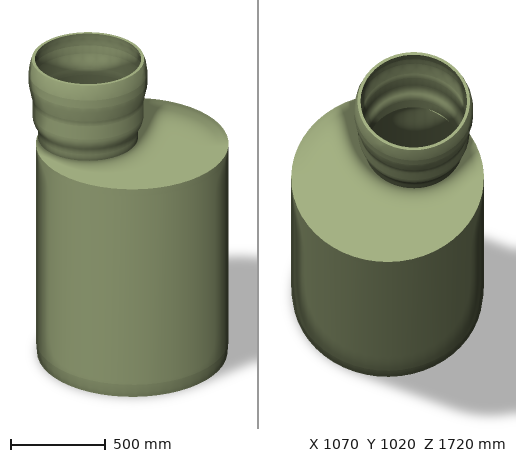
import cadquery as cq
import math

barrel_outer_radius = 1020.0 / 2
barrel_inner_radius = 980.0 / 2
foot_bottom_radius = 504.0
foot_top_radius = 509.0
foot_top = 65.0
barrel_straight_start = 75.0

lid_bottom = 1210.0
lid_top = 1250.0

total_height = 1720.0
neck_wall = 14.8
pipe_radius = 530.0 / 2
socket_radius = 590.0 / 2
bell_radius = 630.0 / 2
rim_radius = 595.0 / 2
flare_start = 1288.0
flare_inflection = 1330.0
socket_start = 1393.0
socket_end = 1474.0
bell_inflection = 1505.0
bell_start = 1591.0
bell_end = 1640.0

neck_x = pipe_radius - barrel_outer_radius


def s_curve_joint(lower_radius, lower_z, joint_z, upper_radius, upper_z, inset):
    """Point where two tangent arcs join, moved inward by inset along the wall normal."""
    share = (joint_z - lower_z) / (upper_z - lower_z)
    radius = lower_radius + share * (upper_radius - lower_radius)
    slope = 2 * math.atan2(upper_radius - lower_radius, upper_z - lower_z)
    return (radius - inset * math.cos(slope), joint_z + inset * math.sin(slope))


def rim_edge_radius(inset):
    """Radius at the top edge of the arc that closes in from the bell, moved inward by inset."""
    rise = total_height - bell_end
    closing = bell_radius - rim_radius
    arc_radius = (rise**2 + closing**2) / (2 * closing)
    arc_center = bell_radius - arc_radius
    return arc_center + math.sqrt((arc_radius - inset) ** 2 - rise**2)


def turned_neck(inset):
    """Solid of revolution of the neck outline, moved inward by inset."""
    pipe = pipe_radius - inset
    socket = socket_radius - inset
    bell = bell_radius - inset
    flare_joint = s_curve_joint(
        pipe_radius, flare_start, flare_inflection, socket_radius, socket_start, inset
    )
    bell_joint = s_curve_joint(
        socket_radius, socket_end, bell_inflection, bell_radius, bell_start, inset
    )
    return (
        cq.Workplane("XZ")
        .moveTo(0, lid_top)
        .lineTo(pipe, lid_top)
        .lineTo(pipe, flare_start)
        .tangentArcPoint(flare_joint, relative=False)
        .tangentArcPoint((socket, socket_start), relative=False)
        .lineTo(socket, socket_end)
        .tangentArcPoint(bell_joint, relative=False)
        .tangentArcPoint((bell, bell_start), relative=False)
        .lineTo(bell, bell_end)
        .tangentArcPoint((rim_edge_radius(inset), total_height), relative=False)
        .lineTo(0, total_height)
        .close()
        .revolve(360, (0, 0, 0), (0, 1, 0))
        .translate((neck_x, 0, 0))
    )


def make_neck():
    return turned_neck(0).cut(turned_neck(neck_wall))


def make_lid():
    opening_radius = pipe_radius - neck_wall
    thickness = lid_top - lid_bottom
    disc = cq.Workplane("XY").circle(barrel_outer_radius).extrude(thickness)
    opening = cq.Workplane("XY").center(neck_x, 0).circle(opening_radius).extrude(thickness)
    return disc.cut(opening).translate((0, 0, lid_bottom))


def make_barrel():
    return (
        cq.Workplane("XZ")
        .moveTo(barrel_inner_radius, 0)
        .lineTo(foot_bottom_radius, 0)
        .lineTo(foot_top_radius, foot_top)
        .lineTo(barrel_outer_radius, barrel_straight_start)
        .lineTo(barrel_outer_radius, lid_bottom)
        .lineTo(barrel_inner_radius, lid_bottom)
        .close()
        .revolve(360, (0, 0, 0), (0, 1, 0))
    )


neck = make_neck()
lid = make_lid()
barrel = make_barrel()

result = cq.Compound.makeCompound([neck.val(), lid.val(), barrel.val()])